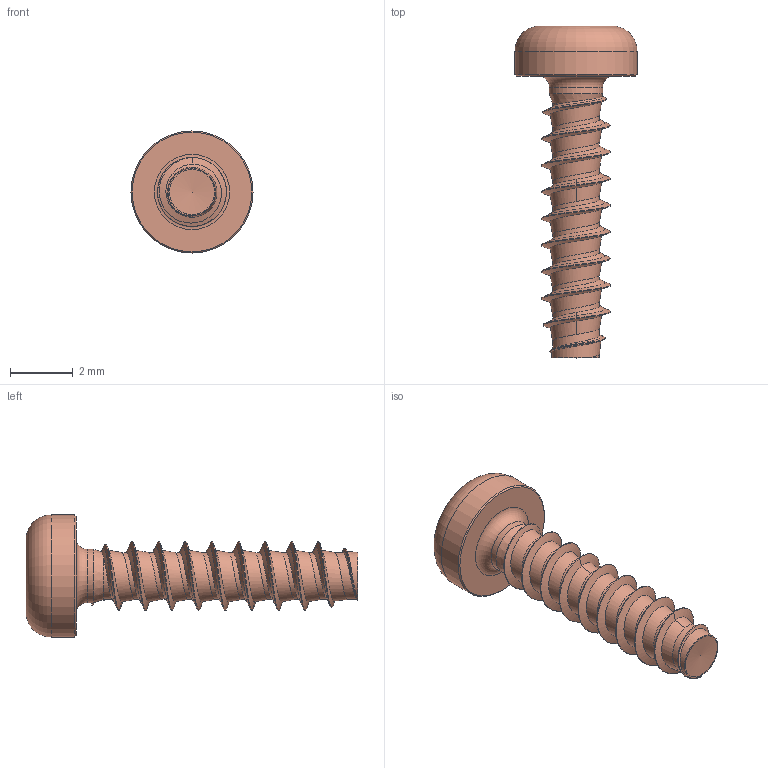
import cadquery as cq
import math


head_radius = 1.95
head_height = 1.6
head_dome_radius = 0.8
head_rim_chamfer = 0.04

shank_length = 9.0
neck_radius = 0.85
neck_fillet = 0.35
neck_depth = 0.57
root_radius = 0.75
root_depth = 0.87
tip_dish_radius = 0.72
tip_dish_depth = 0.05

pitch = 0.85
thread_depth = 0.51
run_in_turns = 1.0
full_turns = 7.5
run_out_turns = 1.5
turns_per_stretch = 2.5

crest_radius = 1.1
run_in_crest_radius = 0.93
run_out_crest_radius = 0.78
bend_radius = 0.92
ridge_radius = 0.825
run_out_ridge_radius = 0.77
buried_radius = 0.68

half_crest_width = 0.01
bend_offset = -0.08
flank_foot_offset = -0.185
ridge_offset = 0.09
ramp_end_offset = 0.52
section_overlap = 0.03

AXIS_POINT = cq.Vector(0, 0, 0)
ALONG_X = cq.Vector(1, 0, 0)
ALONG_Y = cq.Vector(0, 1, 0)
ALONG_Z = cq.Vector(0, 0, 1)


def make_body(end_depth):
    """Head, neck and plain core down to the given depth, revolved about the screw axis."""
    diagonal = math.sqrt(0.5)
    dome_centre_r = head_radius - head_dome_radius
    dome_centre_y = head_height - head_dome_radius
    dome_middle = (
        dome_centre_r + head_dome_radius * diagonal,
        dome_centre_y + head_dome_radius * diagonal,
    )
    fillet_centre_r = neck_radius + neck_fillet
    fillet_middle = (
        fillet_centre_r - neck_fillet * diagonal,
        neck_fillet * diagonal - neck_fillet,
    )
    profile = (
        cq.Workplane("XY")
        .moveTo(0, head_height)
        .lineTo(dome_centre_r, head_height)
        .threePointArc(dome_middle, (head_radius, dome_centre_y))
        .lineTo(head_radius, head_rim_chamfer)
        .lineTo(head_radius - head_rim_chamfer, 0)
        .lineTo(fillet_centre_r, 0)
        .threePointArc(fillet_middle, (neck_radius, -neck_fillet))
        .lineTo(neck_radius, -neck_depth)
        .lineTo(root_radius, -root_depth)
        .lineTo(root_radius, -end_depth)
        .lineTo(0, -end_depth)
        .close()
    )
    return profile.revolve(360, (0, 0, 0), (0, 1, 0)).val()


def thread_section(crest, ridge):
    """Corners of the thread section as (axial offset, radius).

    A crest lower than the full one shrinks both flanks in proportion.
    """
    rise = (crest - root_radius) / (crest_radius - root_radius)
    flank_run = bend_offset - flank_foot_offset
    flank_slope = (bend_radius - root_radius) / flank_run
    flank_start = rise * flank_foot_offset - (root_radius - buried_radius) / flank_slope
    ramp_slope = (ridge_radius - root_radius) / (ramp_end_offset - ridge_offset)
    section_end = ramp_end_offset + section_overlap
    return [
        (flank_start, buried_radius),
        (rise * bend_offset, root_radius + rise * (bend_radius - root_radius)),
        (-half_crest_width, crest),
        (half_crest_width, crest),
        (half_crest_width + rise * (ridge_offset - half_crest_width), ridge),
        (section_end, root_radius - section_overlap * ramp_slope),
        (section_end, buried_radius),
    ]


def helix_edge(turns, start_corner, end_corner):
    """Helix about Z from one section corner to another, its radius changing evenly."""
    start_offset, start_radius = start_corner
    end_offset, end_radius = end_corner
    height = turns * pitch + end_offset - start_offset
    if start_radius == end_radius:
        helix = cq.Wire.makeHelix(height / turns, height, start_radius)
    else:
        cone_angle = math.atan2(end_radius - start_radius, height)
        slant = height / math.cos(cone_angle)
        helix = cq.Wire.makeHelix(
            slant / turns, slant, start_radius, angle=math.degrees(cone_angle)
        )
    return helix.Edges()[0].translate(ALONG_Z * start_offset)


def make_stretch(first_turn, turns, start_section, end_section):
    """Solid stretch of thread that changes evenly from one section to another."""
    helices = [
        helix_edge(turns, start_corner, end_corner)
        for start_corner, end_corner in zip(start_section, end_section)
    ]
    faces = [
        cq.Face.makeRuledSurface(helices[i - 1], helix) for i, helix in enumerate(helices)
    ]
    for ends in (
        [helix.startPoint() for helix in helices],
        [helix.endPoint() for helix in helices],
    ):
        faces.append(cq.Face.makeFromWires(cq.Wire.makePolygon(ends, close=True)))
    stretch = cq.Solid.makeSolid(cq.Shell.makeShell(faces)).fix()

    stretch = stretch.rotate(AXIS_POINT, ALONG_Z, 360 * first_turn)
    stretch = stretch.translate(ALONG_Z * (thread_depth + first_turn * pitch))
    stretch = stretch.rotate(AXIS_POINT, ALONG_X, 90)
    return stretch.rotate(AXIS_POINT, ALONG_Y, 90)


def make_thread():
    """All stretches of thread: rising run-in, full thread and fading run-out."""
    first_section = thread_section(run_in_crest_radius, ridge_radius)
    full_section = thread_section(crest_radius, ridge_radius)
    last_section = thread_section(run_out_crest_radius, run_out_ridge_radius)
    stretches = [make_stretch(0, run_in_turns, first_section, full_section)]
    for i in range(round(full_turns / turns_per_stretch)):
        first_turn = run_in_turns + i * turns_per_stretch
        stretches.append(make_stretch(first_turn, turns_per_stretch, full_section, full_section))
    run_out_start = run_in_turns + full_turns
    stretches.append(make_stretch(run_out_start, run_out_turns, full_section, last_section))
    return stretches


def make_tip_cutter(end_depth):
    """Everything beyond the tip face, with the cone that hollows the face."""
    profile = (
        cq.Workplane("XY")
        .moveTo(0, tip_dish_depth - shank_length)
        .lineTo(tip_dish_radius, -shank_length)
        .lineTo(head_radius, -shank_length)
        .lineTo(head_radius, -end_depth)
        .lineTo(0, -end_depth)
        .close()
    )
    return profile.revolve(360, (0, 0, 0), (0, 1, 0)).val()


overshoot_depth = shank_length + pitch
untrimmed = make_body(overshoot_depth).fuse(*make_thread())
trimmed = untrimmed.cut(make_tip_cutter(overshoot_depth + pitch))
result = cq.Workplane(trimmed.Solids()[0])